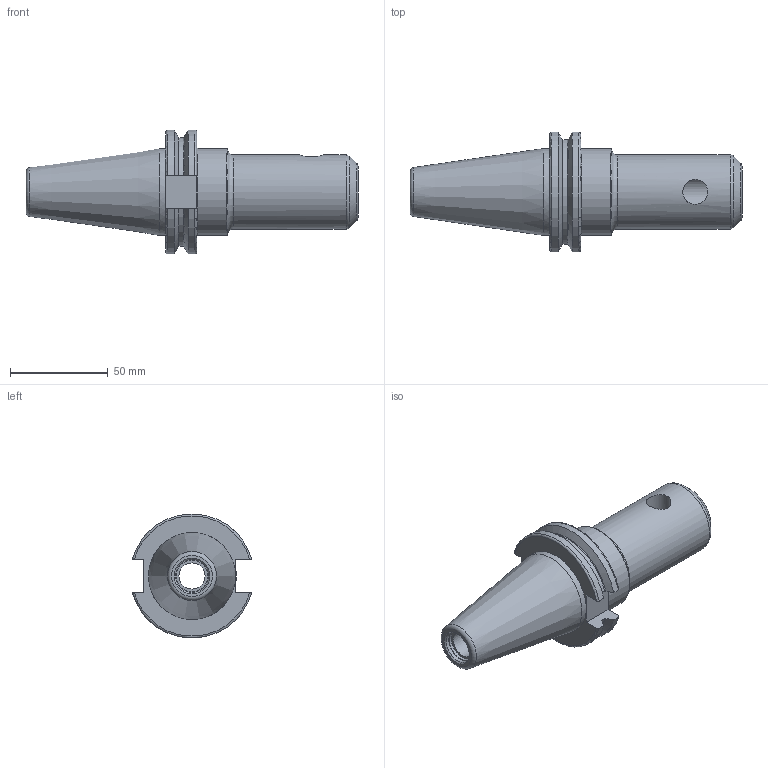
import cadquery as cq
import math

gauge_x = 68.25
projection = 101.6
length = gauge_x + projection

gauge_diameter = 44.45
taper_per_length = 7 / 24
small_end_diameter = gauge_diameter - gauge_x * taper_per_length
small_end_fillet = 2.0

flange_diameter = 63.5
flange_offset = 3.18
flange_width = 15.88
flange_edge_fillet = 1.0
flange_root_fillet = 0.5
flange_start = gauge_x + flange_offset
flange_end = flange_start + flange_width
groove_center = flange_start + flange_width / 2
groove_floor_diameter = 55.9
groove_mouth_width = 7.2
groove_floor_fillet = 0.5
groove_wall_angle = 30

slot_width = 17.1
slot_floor_front = 22.1
slot_floor_back = 24.9

neck_end = gauge_x + 34.925
body_diameter = 38.1
neck_edge_fillet = 0.35
neck_root_fillet = 2.8
nose_chamfer = 5.05
nose_fillet = 2.5

drawbar_mouth_diameter = 18.2
drawbar_pilot_diameter = 16.88
drawbar_pilot_depth = 2.6
drawbar_recess_diameter = 16.3
drawbar_recess_depth = 4.1
through_diameter = 13.39
tool_bore_diameter = 15.88
tool_bore_depth = 50.0

screw_diameter = 12.75
screw_from_nose = 23.9


def ring_at(x, radius):
    """Selector for the circular edge of the given radius in the plane at x."""
    gap = 0.01
    outer = radius + gap
    inner = radius - gap
    within = cq.selectors.BoxSelector((x - gap, -outer, -outer), (x + gap, outer, outer), boundingbox=True)
    smaller = cq.selectors.BoxSelector((x - gap, -inner, -inner), (x + gap, inner, inner), boundingbox=True)
    return within - smaller


def make_body():
    """Revolve the outer profile of taper, flange, neck and tool body."""
    small_r = small_end_diameter / 2
    gauge_r = gauge_diameter / 2
    flange_r = flange_diameter / 2
    body_r = body_diameter / 2
    groove_r = groove_floor_diameter / 2
    half_mouth = groove_mouth_width / 2
    half_floor = half_mouth - (flange_r - groove_r) * math.tan(math.radians(groove_wall_angle))
    profile = [
        (0, 0),
        (0, small_r),
        (gauge_x, gauge_r),
        (flange_start, gauge_r),
        (flange_start, flange_r),
        (groove_center - half_mouth, flange_r),
        (groove_center - half_floor, groove_r),
        (groove_center + half_floor, groove_r),
        (groove_center + half_mouth, flange_r),
        (flange_end, flange_r),
        (flange_end, gauge_r),
        (neck_end, gauge_r),
        (neck_end, body_r),
        (length - nose_chamfer, body_r),
        (length, body_r - nose_chamfer),
        (length, 0),
    ]
    body = cq.Workplane("XY").polyline(profile).close().revolve(360, (0, 0, 0), (1, 0, 0))
    body = body.edges(ring_at(0, small_r)).fillet(small_end_fillet)
    body = body.edges(ring_at(flange_start, flange_r)).fillet(flange_edge_fillet)
    body = body.edges(ring_at(flange_end, flange_r)).fillet(flange_edge_fillet)
    body = body.edges(ring_at(flange_end, gauge_r)).fillet(flange_root_fillet)
    body = body.edges(ring_at(groove_center - half_floor, groove_r)).fillet(groove_floor_fillet)
    body = body.edges(ring_at(groove_center + half_floor, groove_r)).fillet(groove_floor_fillet)
    body = body.edges(ring_at(neck_end, body_r)).fillet(neck_root_fillet)
    body = body.edges(ring_at(neck_end, gauge_r)).fillet(neck_edge_fillet)
    body = body.edges(ring_at(length - nose_chamfer, body_r)).fillet(nose_fillet)
    return body.edges(ring_at(length, body_r - nose_chamfer)).fillet(nose_fillet)


def drive_slot(floor, side):
    """Block that cuts one drive slot on the given side (+1 or -1) of Y."""
    depth = flange_diameter / 2 - floor
    block = cq.Workplane("XY").box(flange_width, depth, slot_width)
    return block.translate((flange_start + flange_width / 2, side * (floor + depth / 2), 0))


def bore(x, diameter, depth):
    """Cylinder along +X starting at x."""
    return cq.Workplane("YZ", origin=(x, 0, 0)).circle(diameter / 2).extrude(depth)


def cut_drive_slots(body):
    """Cut the two drive slots, the front one deeper than the back one."""
    body = body.cut(drive_slot(slot_floor_front, -1))
    return body.cut(drive_slot(slot_floor_back, 1))


def cut_drawbar_bore(body):
    """Cut the through bore and its stepped, chamfered mouth at the small end."""
    pilot_r = drawbar_pilot_diameter / 2
    mouth_chamfer = drawbar_mouth_diameter / 2 - pilot_r
    body = body.cut(bore(0, through_diameter, length))
    body = body.cut(bore(0, drawbar_recess_diameter, drawbar_recess_depth))
    body = body.cut(bore(0, drawbar_pilot_diameter, drawbar_pilot_depth))
    return body.edges(ring_at(0, pilot_r)).chamfer(mouth_chamfer)


def cut_tool_bore(body):
    """Cut the tool bore from the nose and the screw hole that meets it from above."""
    body = body.cut(bore(length - tool_bore_depth, tool_bore_diameter, tool_bore_depth))
    screw_hole = cq.Workplane("XY", origin=(length - screw_from_nose, 0, 0)).circle(screw_diameter / 2)
    return body.cut(screw_hole.extrude(body_diameter / 2))


result = make_body()
result = cut_drive_slots(result)
result = cut_drawbar_bore(result)
result = cut_tool_bore(result)